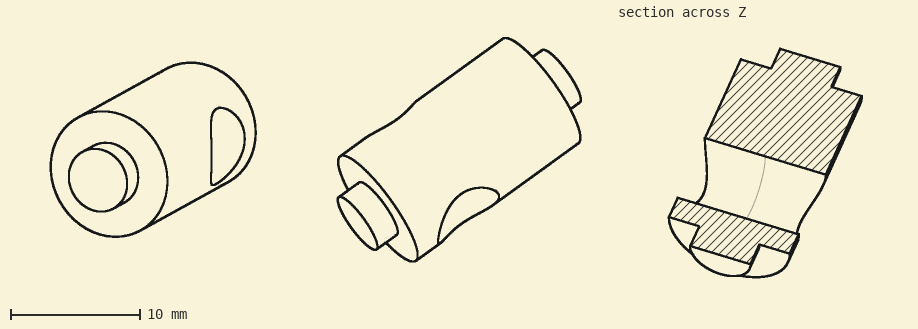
import cadquery as cq

body_diameter = 10.0
body_length = 16.0
pin_diameter = 5.0
pin_length = 2.0
hole_diameter = 6.0
hole_to_shoulder = 5.0

overall_length = body_length + 2 * pin_length
hole_y = body_length / 2 - hole_to_shoulder


def cylinder_along_y(diameter, length):
    """Cylinder on the Y axis, centred on the origin."""
    return cq.Workplane("XZ").circle(diameter / 2).extrude(length / 2, both=True)


def cross_hole():
    """Cutter along X that passes right through the body."""
    return (
        cq.Workplane("YZ")
        .center(hole_y, 0)
        .circle(hole_diameter / 2)
        .extrude(body_diameter, both=True)
    )


body = cylinder_along_y(body_diameter, body_length)
pins = cylinder_along_y(pin_diameter, overall_length)

result = body.union(pins).cut(cross_hole())